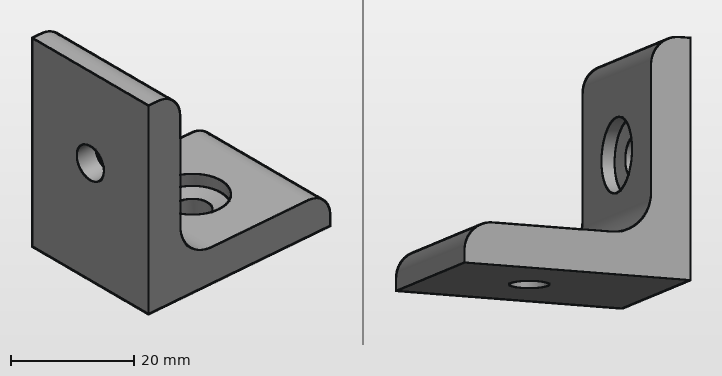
import cadquery as cq

width = 28.0
leg_length = 40.0
thickness = 7.0

inner_radius = 7.0
tip_radius = 5.0

hole_diameter = 6.5
hole_offset = 22.5
head_diameter = 12.5
head_recess_depth = 2.3
cone_depth = 0.6


def angle_bracket():
    """L profile in the YZ plane, extruded along X, outer corner at the origin."""
    profile = (
        cq.Workplane("YZ")
        .polyline([
            (0, 0),
            (leg_length, 0),
            (leg_length, thickness),
            (thickness, thickness),
            (thickness, leg_length),
            (0, leg_length),
        ])
        .close()
    )
    body = profile.extrude(width / 2, both=True)
    inner_edge = cq.selectors.NearestToPointSelector((0, thickness, thickness))
    tip_edges = (
        cq.selectors.NearestToPointSelector((0, leg_length, thickness))
        + cq.selectors.NearestToPointSelector((0, thickness, leg_length))
    )
    return body.edges(inner_edge).fillet(inner_radius).edges(tip_edges).fillet(tip_radius)


def screw_cutter():
    """Stepped screw hole along +Z, starting at the outer face of a leg."""
    hole_radius = hole_diameter / 2
    head_radius = head_diameter / 2
    cone_top = thickness - head_recess_depth
    return (
        cq.Workplane("XZ")
        .polyline([
            (0, 0),
            (hole_radius, 0),
            (hole_radius, cone_top - cone_depth),
            (head_radius, cone_top),
            (head_radius, thickness),
            (0, thickness),
        ])
        .close()
        .revolve(360, (0, 0, 0), (0, 1, 0))
    )


base_cutter = screw_cutter().translate((0, hole_offset, 0))
wall_cutter = (
    screw_cutter()
    .rotate((0, 0, 0), (1, 0, 0), -90)
    .translate((0, 0, hole_offset))
)

result = angle_bracket().cut(base_cutter).cut(wall_cutter)